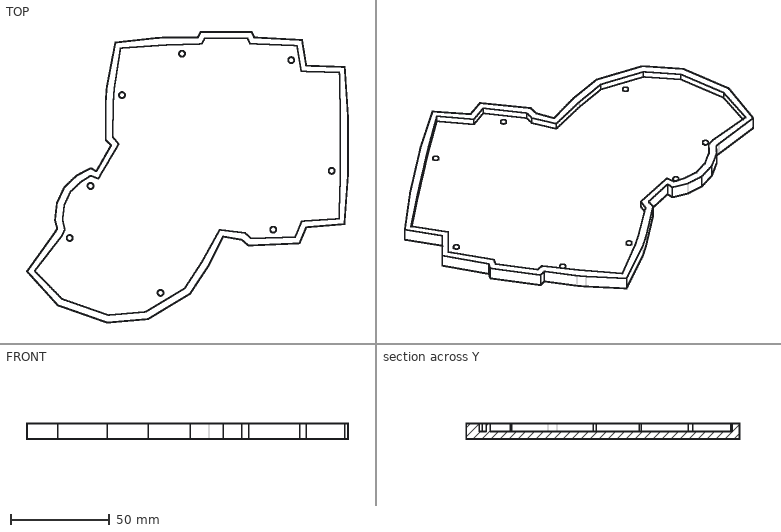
import cadquery as cq
import math

LENGTH = 163.8
WIDTH = 148.4
HEIGHT = 8.0

CORNER_INSET = 4.0
FLOOR_THICKNESS = HEIGHT / 2

SCREW_HOLE_DIAMETER = 3.0

LEFT_SIDE_X = 40.1
REAR_EDGE_Y = 145.6

THUMB_LOBE = [
    (0.0, 26.2),
    (14.4, 46.3),
    (15.4, 48.0),
    (14.2, 52.2),
    (15.2, 61.1),
    (19.0, 69.1),
    (25.4, 75.2),
    (32.6, 79.0),
    (35.4, 77.3),
]
LEFT_SIDE = [
    (42.9, 90.5),
    (LEFT_SIDE_X, 93.2),
    (LEFT_SIDE_X, 113.0),
    (40.6, 119.9),
    (45.0, 143.0),
]
REAR_SIDE = [
    (65.7, 145.3),
    (70.5, REAR_EDGE_Y),
    (87.1, REAR_EDGE_Y),
    (88.6, WIDTH),
    (114.6, WIDTH),
    (116.0, REAR_EDGE_Y),
    (140.4, 144.3),
]
RIGHT_SIDE = [
    (142.5, 131.2),
    (162.1, 130.5),
    (LENGTH, 105.6),
    (LENGTH, 75.0),
    (162.0, 50.3),
    (142.5, 48.6),
]
FRONT_SIDE = [
    (139.0, 40.5),
    (113.0, 39.3),
    (109.5, 42.3),
    (100.0, 43.9),
    (92.7, 29.2),
    (83.2, 14.7),
    (61.7, 1.8),
    (41.0, 0.0),
    (15.7, 8.8),
]
OUTLINE = THUMB_LOBE + LEFT_SIDE + REAR_SIDE + RIGHT_SIDE + FRONT_SIDE

SCREW_HOLES = [
    (79.1, 137.2),
    (134.8, 134.0),
    (48.5, 116.1),
    (155.5, 77.5),
    (32.5, 69.8),
    (125.6, 47.5),
    (21.8, 43.2),
    (68.1, 15.2),
]


def inset_corner(before, corner, after):
    """Move a corner inward by CORNER_INSET along the bisector of its two edges."""
    heading_in = math.atan2(corner[1] - before[1], corner[0] - before[0])
    heading_out = math.atan2(after[1] - corner[1], after[0] - corner[0])
    normal_x = math.sin(heading_in) + math.sin(heading_out)
    normal_y = -math.cos(heading_in) - math.cos(heading_out)
    scale = CORNER_INSET / math.hypot(normal_x, normal_y)
    return (corner[0] + scale * normal_x, corner[1] + scale * normal_y)


def inset_outline(corners):
    """Inner edge of the rim, with one inner corner for each outer corner."""
    count = len(corners)
    return [
        inset_corner(corners[i - 1], corners[i], corners[(i + 1) % count])
        for i in range(count)
    ]


def plate():
    return cq.Workplane("XY").polyline(OUTLINE).close().extrude(HEIGHT)


def pocket():
    floor = cq.Workplane("XY").workplane(offset=FLOOR_THICKNESS)
    return floor.polyline(inset_outline(OUTLINE)).close().extrude(HEIGHT - FLOOR_THICKNESS)


def screw_holes():
    holes = cq.Workplane("XY").pushPoints(SCREW_HOLES)
    return holes.circle(SCREW_HOLE_DIAMETER / 2).extrude(FLOOR_THICKNESS)


result = plate().cut(pocket()).cut(screw_holes())